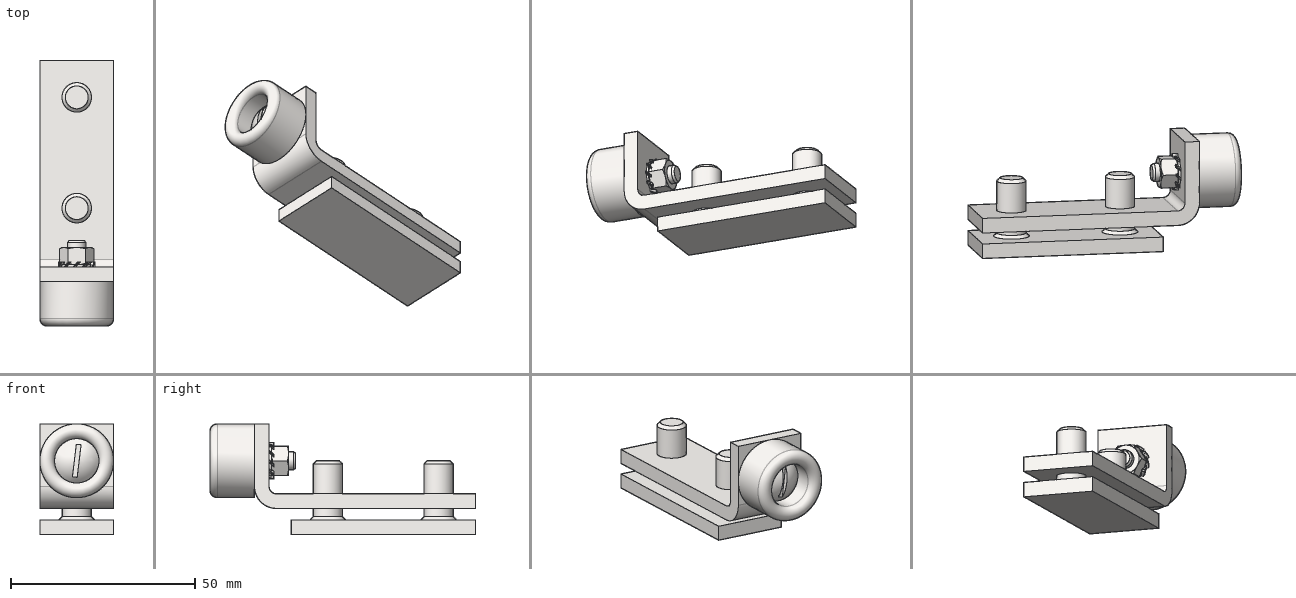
import cadquery as cq
import math


width = 20.0
thickness = 4.0
base_length = 50.0
bracket_length = 60.0
overall_length = 72
total_height = 30.0
strip_gap = 3.0
bend_inner_radius = 2.0

stud_diameter = 8.0
stud_tip_diameter = 6.2
stud_top = 20.1
stud_flare = 0.9
stud_end_distance = 10.0
stud_pitch = 30.0
stud_count = 2

bumper_diameter = width
bumper_bore = 12.0
bumper_length = overall_length - bracket_length
bumper_floor = 3.0

screw_diameter = 5.0
screw_tip_diameter = 4.1
screw_tip_chamfer = 0.65
screw_reach = 7.2
head_rim_height = 1.8
dome_radius = 7.6
slot_width = 1.3
slot_length = 8.9
slot_tilt = 6.8

nut_flats = 8.0
nut_height = 4.7
nut_chamfer_angle = 30
washer_diameter = 10.0
washer_ring_diameter = 8.9
washer_thickness = 0.6
tooth_count = 11
tooth_height = 1.3
tooth_width = 0.6
tooth_lean = 1.2
tooth_phase = 3

bracket_bottom = thickness + strip_gap
axis_height = total_height - bumper_diameter / 2
bumper_front = -bumper_length
head_seat = -bumper_floor
stud_places = [bracket_length - stud_end_distance - i * stud_pitch for i in range(stud_count)]


def rod(diameter, y_start, y_end):
    """Cylinder along the screw axis from y_start to y_end."""
    plane = cq.Plane(origin=(0, y_start, axis_height), xDir=(1, 0, 0), normal=(0, 1, 0))
    return cq.Workplane(plane).circle(diameter / 2).extrude(y_end - y_start)


def revolved(profile):
    """Turn a closed (radius, y) profile around the screw axis."""
    return profile.close().revolve(360, (0, 0, 0), (0, 1, 0)).translate((0, 0, axis_height))


def make_base_plate():
    """Flat strip, flush with the bracket's far end."""
    start = bracket_length - base_length
    plate = cq.Workplane("XY").box(width, base_length, thickness, centered=(True, False, False))
    return plate.translate((0, start, 0))


def make_stud(y):
    """Upright stud standing on the base plate, with a flared foot and a chamfered tip."""
    radius = stud_diameter / 2
    tip_radius = stud_tip_diameter / 2
    height = stud_top - thickness
    profile = (
        cq.Workplane("XZ")
        .lineTo(radius + stud_flare, 0)
        .lineTo(radius, stud_flare)
        .lineTo(radius, height - (radius - tip_radius))
        .lineTo(tip_radius, height)
        .lineTo(0, height)
        .close()
    )
    return profile.revolve(360, (0, 0, 0), (0, 1, 0)).translate((0, y, thickness))


def make_bracket():
    """Bent strip with an upright front leg, drilled for the studs and the screw."""
    bend_outer_radius = bend_inner_radius + thickness
    bracket = (
        cq.Workplane("YZ", origin=(-width / 2, 0, 0))
        .moveTo(bracket_length, bracket_bottom)
        .lineTo(bend_outer_radius, bracket_bottom)
        .radiusArc((0, bracket_bottom + bend_outer_radius), bend_outer_radius)
        .lineTo(0, total_height)
        .lineTo(thickness, total_height)
        .lineTo(thickness, bracket_bottom + bend_outer_radius)
        .radiusArc((bend_outer_radius, bracket_bottom + thickness), -bend_inner_radius)
        .lineTo(bracket_length, bracket_bottom + thickness)
        .close()
        .extrude(width)
    )
    stud_holes = (
        cq.Workplane("XY", origin=(0, 0, bracket_bottom))
        .pushPoints([(0, y) for y in stud_places])
        .circle(stud_diameter / 2)
        .extrude(thickness)
    )
    return bracket.cut(stud_holes).cut(rod(screw_diameter, 0, thickness))


def make_bumper():
    """Round bumper with a fully rounded lip, a bore for the screw head and a drilled floor."""
    outer = bumper_diameter / 2
    inner = bumper_bore / 2
    lip_radius = (outer - inner) / 2
    lip_start = bumper_front + lip_radius
    return revolved(
        cq.Workplane("XY")
        .moveTo(screw_diameter / 2, 0)
        .lineTo(outer, 0)
        .lineTo(outer, lip_start)
        .threePointArc((outer - lip_radius, bumper_front), (inner, lip_start))
        .lineTo(inner, head_seat)
        .lineTo(screw_diameter / 2, head_seat)
    )


def make_screw():
    """Domed, slotted screw whose head fills the bumper bore."""
    head_radius = bumper_bore / 2
    shank_radius = screw_diameter / 2
    rim = head_seat - head_rim_height
    dome_centre = rim + math.sqrt(dome_radius**2 - head_radius**2)
    dome_top = dome_centre - dome_radius
    middle_radius = head_radius / 2
    dome_middle = dome_centre - math.sqrt(dome_radius**2 - middle_radius**2)
    screw_end = thickness + screw_reach
    screw = revolved(
        cq.Workplane("XY")
        .moveTo(0, dome_top)
        .threePointArc((middle_radius, dome_middle), (head_radius, rim))
        .lineTo(head_radius, head_seat)
        .lineTo(shank_radius, head_seat)
        .lineTo(shank_radius, screw_end - screw_tip_chamfer)
        .lineTo(screw_tip_diameter / 2, screw_end)
        .lineTo(0, screw_end)
    )
    slot_floor = dome_centre - math.sqrt(dome_radius**2 - (slot_length / 2) ** 2)
    slot_depth = slot_floor - dome_top
    slot = (
        cq.Workplane("XY")
        .box(slot_width, slot_depth, bumper_bore, centered=(True, False, True))
        .rotate((0, 0, 0), (0, 1, 0), slot_tilt)
        .translate((0, dome_top, axis_height))
    )
    return screw.cut(slot)


def make_nut():
    """Hexagon nut, corners at +X and -X, with both ends chamfered."""
    corner_diameter = nut_flats / math.cos(math.pi / 6)
    start = thickness + washer_thickness
    end = start + nut_height
    plane = cq.Plane(origin=(0, start, axis_height), xDir=(1, 0, 0), normal=(0, 1, 0))
    hexagon = cq.Workplane(plane).polygon(6, corner_diameter).extrude(nut_height)
    face_radius = nut_flats / 2
    corner_radius = corner_diameter / 2
    chamfer = (corner_radius - face_radius) * math.tan(math.radians(nut_chamfer_angle))
    envelope = revolved(
        cq.Workplane("XY")
        .moveTo(screw_diameter / 2, start)
        .lineTo(face_radius, start)
        .lineTo(corner_radius, start + chamfer)
        .lineTo(corner_radius, end - chamfer)
        .lineTo(face_radius, end)
        .lineTo(screw_diameter / 2, end)
    )
    return hexagon.intersect(envelope)


def make_washer(nut):
    """Lock washer with leaning teeth around its rim that stand clear of the nut."""
    washer = rod(washer_ring_diameter, thickness, thickness + washer_thickness)
    inner_radius = nut_flats / 2
    tooth = (
        cq.Workplane("YZ", origin=(-washer_diameter / 2, thickness, 0))
        .moveTo(0, -tooth_lean - tooth_width)
        .lineTo(0, -tooth_lean)
        .lineTo(tooth_height, 0)
        .lineTo(tooth_height, -tooth_width)
        .close()
        .extrude(washer_diameter / 2 - inner_radius)
        .translate((0, 0, axis_height))
    )
    axis_start = (0, 0, axis_height)
    axis_end = (0, 1, axis_height)
    for i in range(tooth_count):
        angle = tooth_phase + i * 360 / tooth_count
        washer = washer.union(tooth.rotate(axis_start, axis_end, angle))
    washer = washer.intersect(rod(washer_diameter, thickness, thickness + tooth_height))
    return washer.cut(rod(screw_diameter, thickness, thickness + tooth_height)).cut(nut)


base_plate = make_base_plate()
studs = [make_stud(y) for y in stud_places]
bracket = make_bracket()
bumper = make_bumper()
screw = make_screw()
nut = make_nut()
washer = make_washer(nut)

result = cq.Compound.makeCompound(
    [
        base_plate.val(),
        *[stud.val() for stud in studs],
        bracket.val(),
        bumper.val(),
        screw.val(),
        nut.val(),
        washer.val(),
    ]
)